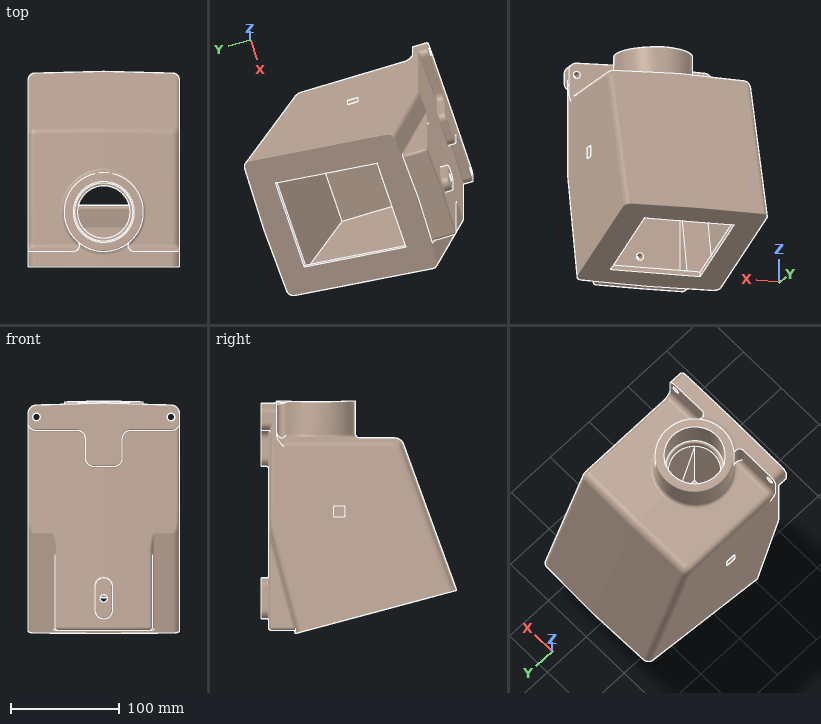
import cadquery as cq
import math

WIDTH = 139.7
DEPTH = 180.81
HEIGHT = 214.73
HALF_WIDTH = WIDTH / 2
BIG = 400.0

DRAFT = math.radians(1.5)

HOOD_TOP = 180.7
FRONT_Y = 7.0
BASE_TILT = math.radians(15)
BACK_TILT = math.radians(20)
BASE_FRONT_Y = 31.7
SIDE_ROUND = 6.5
BACK_TOP_ROUND = 9.0
BASE_EDGE_ROUND = 0.6

FOOT_HALF_WIDTH = 44.8
FOOT_BOTTOM_Z = 3.0
FOOT_ROUND = 2.5
FRONT_EDGE_ROUND = 2.9

WALL = 6.0
RIM_THICKNESS = 6.0
RIM_WIDTH = 26.3
FLOOR_Z = 7.4
OPENING_ROUND = 2.5

FLANGE_BACK_Y = 14.6
FLANGE_TOP = 212.6
FLANGE_CORNER = 8.0
FLANGE_ROOT_ROUND = 6.5
BAR_BOTTOM = 187.5
STEM_HALF_WIDTH = 17.0
STEM_BOTTOM = 154.2
PLATE_CORNER = 8.0
BAR_CORNER = 7.0
PLATE_EDGE_ROUND = 1.2
PLATE_ROOT_ROUND = 1.6
PAD_ROOT_ROUND = 1.2
FLANGE_HOLE_X = 62.0
FLANGE_HOLE_Z = 199.8
SCREW_HOLE = 6.7

PAD_Z = 32.7
PAD_RADIUS = 8.0
PAD_LENGTH = 37.9

SOCKET_Y = 50.9
SOCKET_RADIUS = 36.4
SOCKET_EDGE_ROUND = 1.0
SOCKET_ROOT_ROUND = 3.5
SOCKET_NECK_ROUND = 5.2
SOCKET_STEP_WIDTH = 4.8
SOCKET_STEP_RISE = 1.2
BORE_TOP_RADIUS = 28.1
BORE_BOTTOM_RADIUS = 26.8
THROAT_RADIUS = 24.1
THROAT_ROUND = 1.4
BORE_BOTTOM_Z = 182.0

MARK_Y = 72.3
MARK_Z = 112.7
MARK_SIZE = 10.3
MARK_ROUND = 1.2
MARK_DEPTH = 0.4

CHEEK_TOP = (BASE_FRONT_Y - FRONT_Y) / math.tan(BASE_TILT)
SIDE_DROP = HALF_WIDTH * math.tan(DRAFT)
BASE_BACK_Z = (DEPTH - BASE_FRONT_Y) * math.tan(BASE_TILT)
BACK_TOP_Y = DEPTH - (HOOD_TOP - BASE_BACK_Z) * math.tan(BACK_TILT)


def cheek_y(z, inset=0.0):
    """Y of the recess plane, square to the base, at height z; inset moves it inward."""
    return BASE_FRONT_Y - z * math.tan(BASE_TILT) + inset / math.cos(BASE_TILT)


def base_z(y, inset=0.0):
    """Z of the base plane at y; inset moves it up into the hood."""
    return (y - BASE_FRONT_Y) * math.tan(BASE_TILT) + inset / math.cos(BASE_TILT)


def back_y(z, inset=0.0):
    """Y of the back plane at height z; inset moves it inward."""
    return DEPTH - (z - BASE_BACK_Z) * math.tan(BACK_TILT) - inset / math.cos(BACK_TILT)


def side_prism(points, start_x, end_x):
    """Outline in (Y, Z) extruded along X."""
    plane = cq.Workplane("YZ", origin=(start_x, 0, 0))
    return plane.polyline(points).close().extrude(end_x - start_x)


def box_between(x_range, y_range, z_range):
    """Box from its two limits along each axis."""
    sizes = [high - low for low, high in (x_range, y_range, z_range)]
    corner = (x_range[0], y_range[0], z_range[0])
    return cq.Workplane("XY", origin=corner).box(*sizes, centered=False)


def upright(y=0.0, z=0.0):
    """Workplane at depth y with local X along X and local Y along Z, facing the front."""
    return cq.Workplane("XZ", origin=(0, y, z))


def drafted_prism(origin, direction, outward):
    """Everything inside two planes that fall away from a ridge at X = 0.

    The ridge runs through origin along direction; outward points out of the part.
    """
    plane = cq.Plane(origin=origin, xDir=(1, 0, 0), normal=direction)
    side = 1 if plane.yDir.dot(cq.Vector(*outward)) > 0 else -1
    drop = BIG * math.tan(DRAFT)
    points = [(0, 0), (BIG, -side * drop), (BIG, -side * BIG), (-BIG, -side * BIG), (-BIG, -side * drop)]
    return cq.Workplane(plane).polyline(points).close().extrude(BIG, both=True)


def top_draft(height):
    return drafted_prism((0, 0, height), (0, 1, 0), (0, 0, 1))


def front_draft():
    return drafted_prism((0, FRONT_Y, 0), (0, 0, 1), (0, -1, 0))


def back_draft():
    along = (0, -math.sin(BACK_TILT), math.cos(BACK_TILT))
    outward = (0, math.cos(BACK_TILT), math.sin(BACK_TILT))
    return drafted_prism((0, DEPTH, BASE_BACK_Z), along, outward)


def cheek_draft():
    along = (0, -math.sin(BASE_TILT), math.cos(BASE_TILT))
    outward = (0, -math.cos(BASE_TILT), -math.sin(BASE_TILT))
    return drafted_prism((0, BASE_FRONT_Y, 0), along, outward)


def fillet_where(solid, radius, test):
    """Round every edge whose centre passes the test."""
    edges = [edge for edge in solid.edges().vals() if test(edge.Center())]
    return solid.newObject(edges).fillet(radius)


def near(value, target, tolerance=0.3):
    return abs(value - target) < tolerance


def make_hood():
    """Right half of the solid hood, drafted at top, back and front and rounded at its edges."""
    profile = [
        (FRONT_Y, base_z(FRONT_Y)),
        (DEPTH, BASE_BACK_Z),
        (BACK_TOP_Y, HOOD_TOP),
        (FRONT_Y, HOOD_TOP),
    ]
    hood = side_prism(profile, 0, HALF_WIDTH)
    for envelope in (top_draft(HOOD_TOP), back_draft(), front_draft(), cheek_draft()):
        hood = hood.intersect(envelope)

    def back_top(c):
        return near(c.x, HALF_WIDTH / 2, 1) and near(c.y, BACK_TOP_Y, 4) and near(c.z, HOOD_TOP, 4)

    def outer_side(c):
        on_roof = c.z > HOOD_TOP - BACK_TOP_ROUND and c.y > FLANGE_BACK_Y
        on_back = c.z > BASE_BACK_Z + SIDE_ROUND and c.y > back_y(c.z, BACK_TOP_ROUND)
        return near(c.x, HALF_WIDTH) and (on_roof or on_back)

    def cheek_side(c):
        return near(c.x, HALF_WIDTH) and near(c.y, cheek_y(c.z), 3) and SIDE_ROUND < c.z < CHEEK_TOP

    def base_outline(c):
        return near(c.z, base_z(c.y)) and c.x > 0.1

    hood = fillet_where(hood, BACK_TOP_ROUND, back_top)
    hood = fillet_where(hood, SIDE_ROUND, lambda c: outer_side(c) or cheek_side(c))
    return fillet_where(hood, BASE_EDGE_ROUND, base_outline)


def add_foot(hood):
    """Continue the front panel down between the cheek recesses."""
    behind = BASE_FRONT_Y + WALL
    top = CHEEK_TOP + WALL
    profile = [(FRONT_Y, FOOT_BOTTOM_Z), (cheek_y(FOOT_BOTTOM_Z, WALL / 2), FOOT_BOTTOM_Z)]
    profile += [(behind, base_z(behind, WALL)), (behind, top), (FRONT_Y, top)]
    hood = hood.union(side_prism(profile, 0, FOOT_HALF_WIDTH).intersect(front_draft()))

    def foot_corner(c):
        return near(c.x, FOOT_HALF_WIDTH) and near(c.y, cheek_y(c.z), 3) and c.z > 2 * FOOT_ROUND

    def front_outline(c):
        on_front = near(c.y, FRONT_Y, 2) and near(c.x, FOOT_HALF_WIDTH, 2 * FOOT_ROUND) and c.z < CHEEK_TOP
        on_bottom = near(c.z, FOOT_BOTTOM_Z) and 0 < c.x and c.y < cheek_y(c.z) - FOOT_ROUND / 2
        return on_front or on_bottom

    hood = fillet_where(hood, FOOT_ROUND, foot_corner)
    return fillet_where(hood, FRONT_EDGE_ROUND, front_outline)


def add_flange_slab(hood):
    """Raise the upright slab behind the flange plate, blended into the roof."""
    overhang = 2 * FLANGE_ROOT_ROUND
    bottom = HOOD_TOP - SIDE_DROP - 2 * SIDE_ROUND
    slab = box_between((0, HALF_WIDTH + overhang), (FRONT_Y, FLANGE_BACK_Y), (bottom, HEIGHT))
    slab = slab.intersect(top_draft(FLANGE_TOP)).intersect(front_draft())
    blended = hood.union(slab)

    def roof_joint(c):
        return near(c.y, FLANGE_BACK_Y) and bottom < c.z < HOOD_TOP + 1 and c.x < HALF_WIDTH + 1

    blended = fillet_where(blended, FLANGE_ROOT_ROUND, roof_joint)
    return blended.intersect(box_between((0, HALF_WIDTH), (-BIG, BIG), (-BIG, BIG)))


def add_socket(hood):
    """Stand the pipe socket on the hood roof with a rounded root."""
    foot = HOOD_TOP - 2 * WALL
    socket = cq.Workplane("XY", origin=(0, SOCKET_Y, foot)).circle(SOCKET_RADIUS).extrude(HEIGHT - foot)
    socket = socket.intersect(top_draft(HEIGHT)).intersect(RIGHT_SIDE)

    def root(c):
        radial = math.hypot(c.x, c.y - SOCKET_Y)
        return near(c.z, HOOD_TOP, 1.5) and radial < SOCKET_RADIUS and 1 < c.x

    around_socket = box_between((0, HALF_WIDTH - SIDE_ROUND), (FRONT_Y + 2, BIG), (foot, BIG))
    return fillet_where(hood.union(socket), SOCKET_ROOT_ROUND, root).intersect(around_socket)


def make_neck():
    """Web filling the corners between the socket and the flange slab."""
    center_y = FLANGE_BACK_Y + SOCKET_NECK_ROUND
    reach = SOCKET_RADIUS + SOCKET_NECK_ROUND
    center_x = math.sqrt(reach**2 - (SOCKET_Y - center_y) ** 2)
    touch_x = center_x * SOCKET_RADIUS / reach
    touch_y = SOCKET_Y - (SOCKET_Y - center_y) * SOCKET_RADIUS / reach
    middle = math.atan2(touch_y - center_y, touch_x - center_x) / 2 + math.radians(-90) / 2 + math.pi
    arc_middle = (
        center_x + SOCKET_NECK_ROUND * math.cos(middle),
        center_y + SOCKET_NECK_ROUND * math.sin(middle),
    )
    outline = cq.Workplane("XY", origin=(0, 0, HOOD_TOP - WALL)).moveTo(0, FRONT_Y + WALL).lineTo(0, touch_y)
    outline = outline.lineTo(touch_x, touch_y).threePointArc(arc_middle, (center_x, FLANGE_BACK_Y))
    neck = outline.lineTo(center_x, FRONT_Y + WALL).close().extrude(HEIGHT)
    return neck.intersect(top_draft(FLANGE_TOP)).union(make_step_blend(neck))


def make_step_blend(neck):
    """Concave collar from the flange top up to the socket, kept above the flange and the neck."""
    outer = SOCKET_RADIUS + SOCKET_STEP_WIDTH
    foot = FLANGE_TOP - SOCKET_STEP_RISE
    crest = FLANGE_TOP + SOCKET_STEP_RISE
    arc_middle = (SOCKET_RADIUS + SOCKET_STEP_WIDTH / 3, FLANGE_TOP + SOCKET_STEP_RISE / 3)
    outline = cq.Workplane("XZ", origin=(0, SOCKET_Y, 0)).moveTo(SOCKET_RADIUS - WALL, foot)
    outline = outline.lineTo(SOCKET_RADIUS - WALL, crest).lineTo(SOCKET_RADIUS, crest)
    collar = outline.threePointArc(arc_middle, (outer, FLANGE_TOP)).lineTo(outer, foot).close()
    collar = collar.revolve(360, (0, 0, 0), (0, 1, 0))
    collar = collar.rotate((0, 0, FLANGE_TOP), (0, 1, FLANGE_TOP), math.degrees(DRAFT))
    flange_area = box_between((0, HALF_WIDTH), (0, FLANGE_BACK_Y), (0, HEIGHT))
    return collar.intersect(flange_area.union(neck))


def add_flange_plate(body):
    """Add the T-shaped plate that carries the upper mounting face."""
    plate = upright().moveTo(0, STEM_BOTTOM).lineTo(STEM_HALF_WIDTH, STEM_BOTTOM)
    plate = plate.lineTo(STEM_HALF_WIDTH, BAR_BOTTOM).lineTo(HALF_WIDTH, BAR_BOTTOM)
    plate = plate.lineTo(HALF_WIDTH, HEIGHT).lineTo(0, HEIGHT).close().extrude(-FLANGE_BACK_Y)

    def stem_corner(c):
        return near(c.x, STEM_HALF_WIDTH) and near(c.y, FLANGE_BACK_Y / 2)

    def bar_corner(c):
        return near(c.x, HALF_WIDTH) and near(c.z, BAR_BOTTOM) and near(c.y, FLANGE_BACK_Y / 2)

    def top_corner(c):
        return near(c.x, HALF_WIDTH) and c.z > FLANGE_TOP - 3 and c.y < FLANGE_BACK_Y - 1

    def front_outline(c):
        return near(c.y, 0) and c.x > 0.1

    def root(c):
        beside_stem = c.x < STEM_HALF_WIDTH + PLATE_CORNER
        beside_plate = STEM_BOTTOM - 1 < c.z < BAR_BOTTOM + 1 and (beside_stem or near(c.z, BAR_BOTTOM, 1))
        return FRONT_Y < c.y < FRONT_Y + SIDE_DROP and beside_plate and 0 < c.x < HALF_WIDTH - BAR_CORNER

    plate = fillet_where(plate, PLATE_CORNER, stem_corner)
    plate = fillet_where(plate, BAR_CORNER, bar_corner)
    plate = plate.intersect(top_draft(FLANGE_TOP))
    body = body.union(plate)
    body = fillet_where(body, PLATE_ROOT_ROUND, root)
    body = fillet_where(body, FLANGE_CORNER, top_corner)
    return fillet_where(body, PLATE_EDGE_ROUND, front_outline)


def add_pad(body):
    """Add the oblong lower mounting pad."""
    pad = upright(z=PAD_Z).slot2D(PAD_LENGTH, 2 * PAD_RADIUS, 90).extrude(-2 * FRONT_Y)
    pad = pad.faces("<Y").edges().fillet(PLATE_EDGE_ROUND).intersect(RIGHT_SIDE)
    body = body.union(pad)

    def root(c):
        in_width = c.x < PAD_RADIUS + 0.5
        in_height = near(c.z, PAD_Z, PAD_LENGTH / 2 + 1)
        return in_width and in_height and near(c.y, FRONT_Y, 0.5) and c.x > 0.5

    return fillet_where(body, PAD_ROOT_ROUND, root)


def round_socket_rim(body):
    """Round the outer rim of the socket."""
    def rim(c):
        return math.hypot(c.x, c.y - SOCKET_Y) < SOCKET_RADIUS and c.x > 1 and c.z > FLANGE_TOP + 1

    return fillet_where(body, SOCKET_EDGE_ROUND, rim)


def make_cavity():
    """Right half of the hollow, at wall thickness inside the hood and above a tilted rim."""
    top = HOOD_TOP - WALL
    front = FRONT_Y + WALL
    step_y = BASE_FRONT_Y + (FLOOR_Z - RIM_THICKNESS / math.cos(BASE_TILT)) / math.tan(BASE_TILT)
    profile = [
        (front, FLOOR_Z),
        (step_y, FLOOR_Z),
        (DEPTH, base_z(DEPTH, RIM_THICKNESS)),
        (back_y(0), top),
        (front, top),
    ]
    half_width = HALF_WIDTH - WALL
    foot_half_width = FOOT_HALF_WIDTH - WALL
    cavity = side_prism(profile, 0, half_width)
    behind_back = [(back_y(0, WALL), 0), (back_y(HEIGHT, WALL), HEIGHT), (BIG, HEIGHT), (BIG, 0)]
    cheek = [(cheek_y(0, WALL), 0), (cheek_y(HEIGHT, WALL), HEIGHT), (-BIG, HEIGHT), (-BIG, 0)]
    cavity = cavity.cut(side_prism(behind_back, 0, half_width))
    return cavity.cut(side_prism(cheek, foot_half_width, half_width))


def make_opening():
    """Right half of the rectangular cable opening, square to the tilted base."""
    base_length = (DEPTH - BASE_FRONT_Y) / math.cos(BASE_TILT)
    plane = cq.Plane(
        origin=(0, BASE_FRONT_Y, 0),
        xDir=(1, 0, 0),
        normal=(0, -math.sin(BASE_TILT), math.cos(BASE_TILT)),
    )
    opening = cq.Workplane(plane).center(0, RIM_WIDTH)
    size = (HALF_WIDTH - RIM_WIDTH, base_length - 2 * RIM_WIDTH)
    return opening.rect(*size, centered=False).extrude(2 * RIM_THICKNESS, both=True)


def hollow_out(body):
    """Cut the cavity and the base opening, and round the inner edge of the rim."""
    body = body.cut(make_cavity()).cut(make_opening())

    def inner_rim(c):
        in_plan = c.x < HALF_WIDTH - RIM_WIDTH + 1 and c.y > BASE_FRONT_Y + RIM_WIDTH / 2
        return in_plan and near(c.z, base_z(c.y, RIM_THICKNESS)) and 1 < c.x

    return fillet_where(body, OPENING_ROUND, inner_rim)


def bore_socket(part):
    """Tapered socket bore with a rounded ledge and a throat into the cavity."""
    ledge_radius = THROAT_RADIUS + THROAT_ROUND
    throat_bottom = HOOD_TOP - 2 * WALL
    ledge_bottom = BORE_BOTTOM_Z - THROAT_ROUND
    bend = THROAT_ROUND * (1 - math.sqrt(0.5))
    outline = cq.Workplane("XZ", origin=(0, SOCKET_Y, 0)).moveTo(0, throat_bottom)
    outline = outline.lineTo(THROAT_RADIUS, throat_bottom).lineTo(THROAT_RADIUS, ledge_bottom)
    arc_middle = (THROAT_RADIUS + bend, BORE_BOTTOM_Z - bend)
    outline = outline.threePointArc(arc_middle, (ledge_radius, BORE_BOTTOM_Z))
    outline = outline.lineTo(BORE_BOTTOM_RADIUS, BORE_BOTTOM_Z).lineTo(BORE_TOP_RADIUS, HEIGHT)
    bore = outline.lineTo(0, HEIGHT).close().revolve(360, (0, 0, 0), (0, 1, 0))
    return part.cut(bore)


def drill_screw_holes(part):
    """Two holes through the flange ears and one through the lower pad into the cavity."""
    ears = upright().pushPoints([(-FLANGE_HOLE_X, FLANGE_HOLE_Z), (FLANGE_HOLE_X, FLANGE_HOLE_Z)])
    part = part.cut(ears.circle(SCREW_HOLE / 2).extrude(-2 * FLANGE_BACK_Y))
    return part.cut(upright(z=PAD_Z).circle(SCREW_HOLE / 2).extrude(-(FRONT_Y + 2 * WALL)))


def recess_side_marks(part):
    """Shallow rounded square in each side wall."""
    for side in (1, -1):
        plane = cq.Workplane("YZ", origin=(side * HALF_WIDTH, MARK_Y, MARK_Z))
        mark = plane.rect(MARK_SIZE, MARK_SIZE).extrude(-side * MARK_DEPTH).edges("|X").fillet(MARK_ROUND)
        part = part.cut(mark)
    return part


RIGHT_SIDE = box_between((0, BIG), (-BIG, BIG), (-BIG, BIG))

hood = make_hood()
body = add_foot(add_flange_slab(hood)).union(round_socket_rim(add_socket(hood)))
body = add_pad(add_flange_plate(body.union(make_neck())))
body = hollow_out(body)
part = body.mirror("YZ").union(body)
result = recess_side_marks(drill_screw_holes(bore_socket(part)))